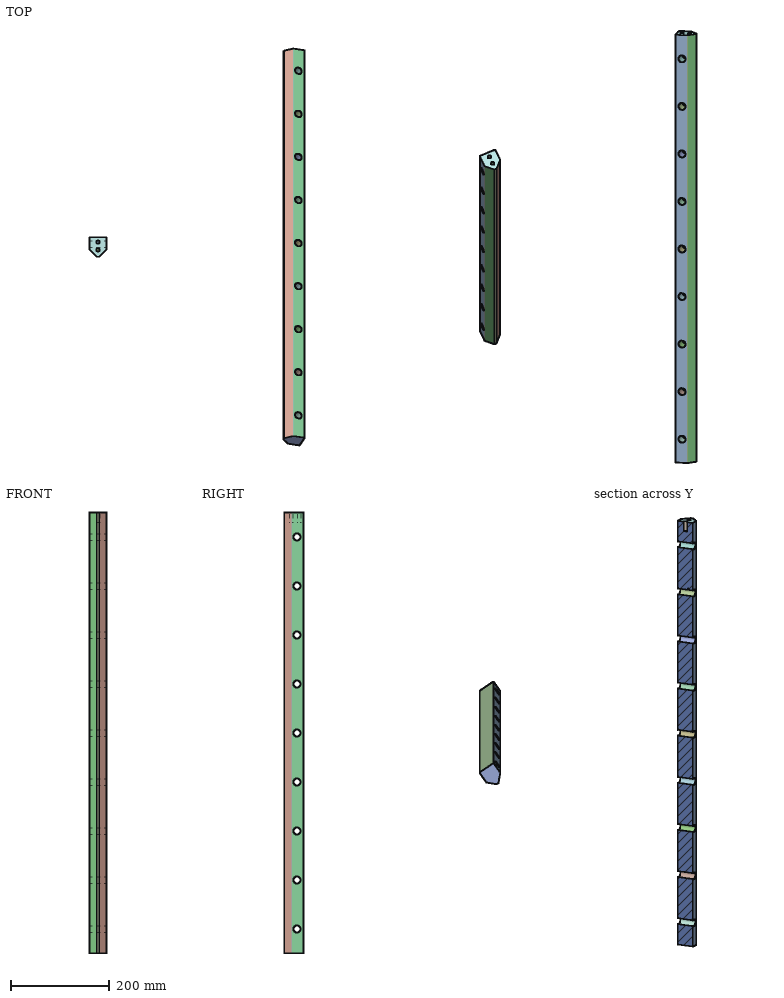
import cadquery as cq

width = 35.0
depth = 40.0
length = 900.0
tip_width = 5.0
ridge_height = (width - tip_width) / 2
shoulder_fillet = 1.0
back_chamfer = 1.0

mount_diameter = 14.0
mount_chamfer = 0.5
mount_pitch = 100.0
mount_count = 9
mount_from_back = 14.0

end_diameter = 6.8
end_depth = 20.0
end_from_back = (10.0, 26.0)


def bar():
    """Pointed section extruded along Z, with its long edges broken."""
    half_width = width / 2
    half_tip = tip_width / 2
    body = (
        cq.Workplane("XY")
        .moveTo(-half_tip, 0)
        .lineTo(half_tip, 0)
        .lineTo(half_width, ridge_height)
        .lineTo(half_width, depth)
        .lineTo(-half_width, depth)
        .lineTo(-half_width, ridge_height)
        .close()
        .extrude(length)
    )
    body = body.faces("<X or >X").edges("<Y").fillet(shoulder_fillet)
    return body.edges("|Z and >Y").chamfer(back_chamfer)


def mount_hole(height):
    """Cutter along X with a chamfered mouth on both sides of the bar."""
    radius = mount_diameter / 2
    mouth_radius = radius + mount_chamfer
    half_width = width / 2
    inner_end = half_width - mount_chamfer
    axis_y = depth - mount_from_back
    return (
        cq.Workplane("XY", origin=(0, axis_y, height))
        .moveTo(-half_width, 0)
        .lineTo(-half_width, mouth_radius)
        .lineTo(-inner_end, radius)
        .lineTo(inner_end, radius)
        .lineTo(half_width, mouth_radius)
        .lineTo(half_width, 0)
        .close()
        .revolve(360, (0, 0, 0), (1, 0, 0))
    )


def end_holes():
    """Pair of blind holes drilled down from the top end."""
    centers = [(0, depth - distance) for distance in end_from_back]
    return (
        cq.Workplane("XY", origin=(0, 0, length))
        .pushPoints(centers)
        .circle(end_diameter / 2)
        .extrude(-end_depth)
    )


result = bar().cut(end_holes())

first_mount_height = (length - (mount_count - 1) * mount_pitch) / 2
for index in range(mount_count):
    result = result.cut(mount_hole(first_mount_height + index * mount_pitch))